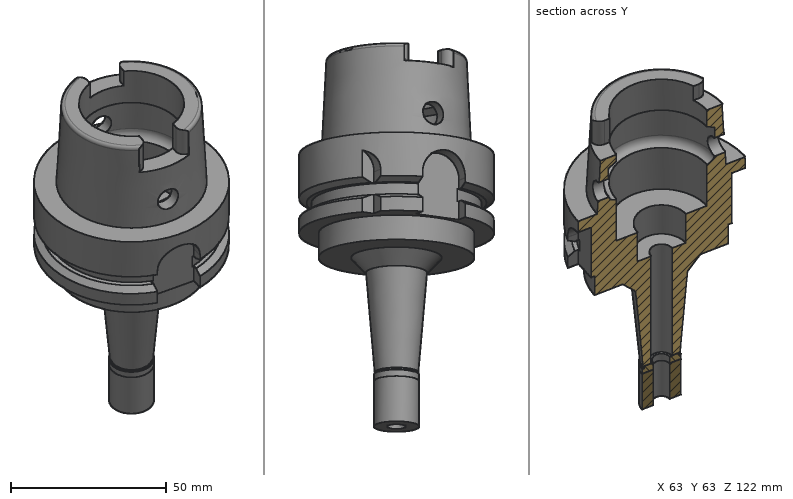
import cadquery as cq
import math

TOTAL_LENGTH = 122.0

SHANK_HEIGHT = 32.0
SHANK_BASE_RADIUS = 24.3
SHANK_TAPER = 1 / 20
SHANK_RIM_FILLET = 1.2
SHANK_TOP_RADIUS = SHANK_BASE_RADIUS - SHANK_TAPER * SHANK_HEIGHT

KEYWAY_WIDTH = 12.6
KEYWAY_DEPTH_LEFT = 6.0
KEYWAY_DEPTH_RIGHT = 10.0
KEYWAY_MOUTH_FILLET = 2.9

CHAMBER_MOUTH_RADIUS = 17.0
CHAMBER_LIP_HEIGHT = 13.0
CHAMBER_RADIUS = 19.9
CHAMBER_SHOULDER_ANGLE = 60.0
CHAMBER_DEPTH = 28.9
CHAMBER_FLOOR_FILLET = CHAMBER_RADIUS - CHAMBER_MOUTH_RADIUS
WELL_DEPTH = 46.4
POCKET_RADIUS = 9.0
POCKET_DEPTH = 12.2
BORE_RADIUS = 3.9

CROSS_HOLE_RADIUS = 3.8
CROSS_HOLE_Z = SHANK_HEIGHT - 22.9

FLANGE_RADIUS = 31.5
FLANGE_DEPTH = 26.0
GROOVE_RADIUS = 27.5
GROOVE_FLANK_RADIUS = 29.0
GROOVE_TOP_DEPTH = 14.4
GROOVE_BOTTOM_DEPTH = 21.4
GROOVE_FLANK_HEIGHT = 1.5

DRIVE_SLOT_WIDTH = 15.9
DRIVE_SLOT_FLOOR_X = 26.5
SLOT_TOP_DEPTH = 4.9
NOTCH_WIDTH = 14.4
NOTCH_CORNER = 20.0

COLLAR_RADIUS = 25.1
COLLAR_DEPTH = 34.0
CONE_TOP_RADIUS = 14.6
NOSE_TOP_RADIUS = 9.9
NOSE_TOP_DEPTH = 39.0
NOSE_TIP_RADIUS = 7.1
NOSE_TIP_DEPTH = 72.1

SLEEVE_RADIUS = 7.3
SLEEVE_BORE_RADIUS = 3.0
SPIGOT_RADIUS = 6.6
SPIGOT_HEIGHT = 0.7
RING_HEIGHT = 2.2
RING_BOTTOM_DEPTH = NOSE_TIP_DEPTH + SPIGOT_HEIGHT + RING_HEIGHT
SLEEVE_BOTTOM_DEPTH = TOTAL_LENGTH - SHANK_HEIGHT


def revolved(profile):
    """Solid of revolution about Z from (radius, z) points."""
    return cq.Workplane("YZ").polyline(profile).close().revolve(360, (0, 0, 0), (0, 1, 0))


def cylinder(radius, bottom_z, top_z):
    return cq.Workplane("XY").workplane(offset=bottom_z).circle(radius).extrude(top_z - bottom_z)


def holder_blank():
    """Turned outside of the holder, from the shank rim down to the nose tip."""
    profile = [
        (0, SHANK_HEIGHT),
        (SHANK_TOP_RADIUS, SHANK_HEIGHT),
        (SHANK_BASE_RADIUS, 0),
        (FLANGE_RADIUS, 0),
        (FLANGE_RADIUS, -GROOVE_TOP_DEPTH),
        (GROOVE_FLANK_RADIUS, -GROOVE_TOP_DEPTH - GROOVE_FLANK_HEIGHT),
        (GROOVE_RADIUS, -GROOVE_TOP_DEPTH - GROOVE_FLANK_HEIGHT),
        (GROOVE_RADIUS, -GROOVE_BOTTOM_DEPTH + GROOVE_FLANK_HEIGHT),
        (GROOVE_FLANK_RADIUS, -GROOVE_BOTTOM_DEPTH + GROOVE_FLANK_HEIGHT),
        (FLANGE_RADIUS, -GROOVE_BOTTOM_DEPTH),
        (FLANGE_RADIUS, -FLANGE_DEPTH),
        (COLLAR_RADIUS, -FLANGE_DEPTH),
        (COLLAR_RADIUS, -COLLAR_DEPTH),
        (CONE_TOP_RADIUS, -COLLAR_DEPTH),
        (NOSE_TOP_RADIUS, -NOSE_TOP_DEPTH),
        (NOSE_TIP_RADIUS, -NOSE_TIP_DEPTH),
        (0, -NOSE_TIP_DEPTH),
    ]
    return revolved(profile).faces(">Z").edges().fillet(SHANK_RIM_FILLET)


def holder_cavity():
    """Undercut clamping chamber, the well and pocket below it and the bore down the nose."""
    lip_z = SHANK_HEIGHT - CHAMBER_LIP_HEIGHT
    shoulder_width = CHAMBER_RADIUS - CHAMBER_MOUTH_RADIUS
    shoulder_height = shoulder_width / math.tan(math.radians(CHAMBER_SHOULDER_ANGLE))
    floor_z = SHANK_HEIGHT - CHAMBER_DEPTH
    profile = [
        (0, SHANK_HEIGHT),
        (CHAMBER_MOUTH_RADIUS, SHANK_HEIGHT),
        (CHAMBER_MOUTH_RADIUS, lip_z),
        (CHAMBER_RADIUS, lip_z - shoulder_height),
        (CHAMBER_RADIUS, floor_z),
        (0, floor_z),
    ]
    chamber = revolved(profile).faces("<Z").edges().fillet(CHAMBER_FLOOR_FILLET)
    well_floor_z = SHANK_HEIGHT - WELL_DEPTH
    well = cylinder(CHAMBER_MOUTH_RADIUS, well_floor_z, floor_z)
    pocket = cylinder(POCKET_RADIUS, well_floor_z - POCKET_DEPTH, well_floor_z)
    bore = cylinder(BORE_RADIUS, -NOSE_TIP_DEPTH, well_floor_z - POCKET_DEPTH)
    return chamber.union(well).union(pocket).union(bore)


def keyway(side, depth):
    """Keyway cutter on one side of the shank (side is -1 or +1 along X), flared at its mouth."""
    half_width = KEYWAY_WIDTH / 2
    fillet = KEYWAY_MOUTH_FILLET
    corner_y = half_width + fillet
    rim_x = math.sqrt(SHANK_TOP_RADIUS**2 - corner_y**2)
    outer_x = SHANK_BASE_RADIUS
    diagonal = fillet * math.sqrt(0.5)
    arc_x = rim_x - fillet + diagonal
    arc_y = corner_y - diagonal
    return (
        cq.Workplane("XY")
        .workplane(offset=SHANK_HEIGHT - depth)
        .moveTo(0, -half_width)
        .lineTo(side * (rim_x - fillet), -half_width)
        .threePointArc((side * arc_x, -arc_y), (side * rim_x, -corner_y))
        .lineTo(side * outer_x, -corner_y)
        .lineTo(side * outer_x, corner_y)
        .lineTo(side * rim_x, corner_y)
        .threePointArc((side * arc_x, arc_y), (side * (rim_x - fillet), half_width))
        .lineTo(0, half_width)
        .close()
        .extrude(depth)
    )


def flange_slot(side, floor_x, centre_y, width):
    """Round-topped slot cutter, open below, from its floor out past the flange on one X side."""
    radius = width / 2
    spring_z = -SLOT_TOP_DEPTH - radius
    return (
        cq.Workplane("YZ")
        .workplane(offset=side * floor_x)
        .moveTo(centre_y - radius, -FLANGE_DEPTH)
        .lineTo(centre_y - radius, spring_z)
        .threePointArc((centre_y, spring_z + radius), (centre_y + radius, spring_z))
        .lineTo(centre_y + radius, -FLANGE_DEPTH)
        .close()
        .extrude(side * (FLANGE_RADIUS - floor_x))
    )


def make_holder():
    holder = holder_blank().cut(holder_cavity())
    for side, depth in ((-1, KEYWAY_DEPTH_LEFT), (1, KEYWAY_DEPTH_RIGHT)):
        holder = holder.cut(keyway(side, depth))
        holder = holder.cut(flange_slot(side, DRIVE_SLOT_FLOOR_X, 0, DRIVE_SLOT_WIDTH))
    notch_centre_y = NOTCH_CORNER + NOTCH_WIDTH / 2
    holder = holder.cut(flange_slot(-1, NOTCH_CORNER, notch_centre_y, NOTCH_WIDTH))
    cross_hole = (
        cq.Workplane("YZ")
        .center(0, CROSS_HOLE_Z)
        .circle(CROSS_HOLE_RADIUS)
        .extrude(SHANK_BASE_RADIUS, both=True)
    )
    return holder.cut(cross_hole)


def make_spigot_ring():
    """Ring with a narrower spigot that leaves a fine groove under the nose."""
    ring_top_z = -NOSE_TIP_DEPTH - SPIGOT_HEIGHT
    ring = cylinder(SLEEVE_RADIUS, -RING_BOTTOM_DEPTH, ring_top_z)
    spigot = cylinder(SPIGOT_RADIUS, ring_top_z, -NOSE_TIP_DEPTH)
    bore = cylinder(SLEEVE_BORE_RADIUS, -RING_BOTTOM_DEPTH, -NOSE_TIP_DEPTH)
    return ring.union(spigot).cut(bore)


def make_sleeve():
    sleeve = cylinder(SLEEVE_RADIUS, -SLEEVE_BOTTOM_DEPTH, -RING_BOTTOM_DEPTH)
    bore = cylinder(SLEEVE_BORE_RADIUS, -SLEEVE_BOTTOM_DEPTH, -RING_BOTTOM_DEPTH)
    return sleeve.cut(bore)


holder = make_holder()
spigot_ring = make_spigot_ring()
sleeve = make_sleeve()

result = cq.Compound.makeCompound([holder.val(), spigot_ring.val(), sleeve.val()])